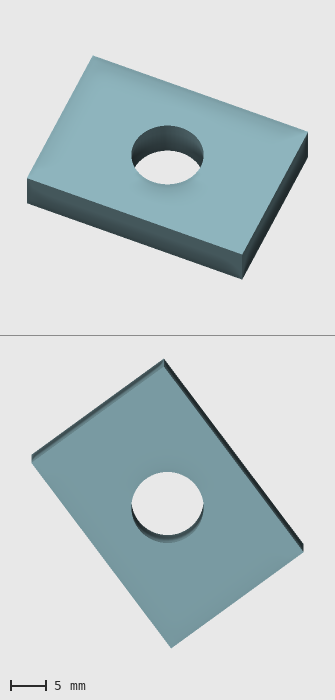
import cadquery as cq

length = 32.8
width = 23.0
thickness = 6.0

hole_diameter = 10.1

result = (
    cq.Workplane("XY")
    .box(length, width, thickness)
    .faces(">Z")
    .workplane()
    .hole(hole_diameter)
)